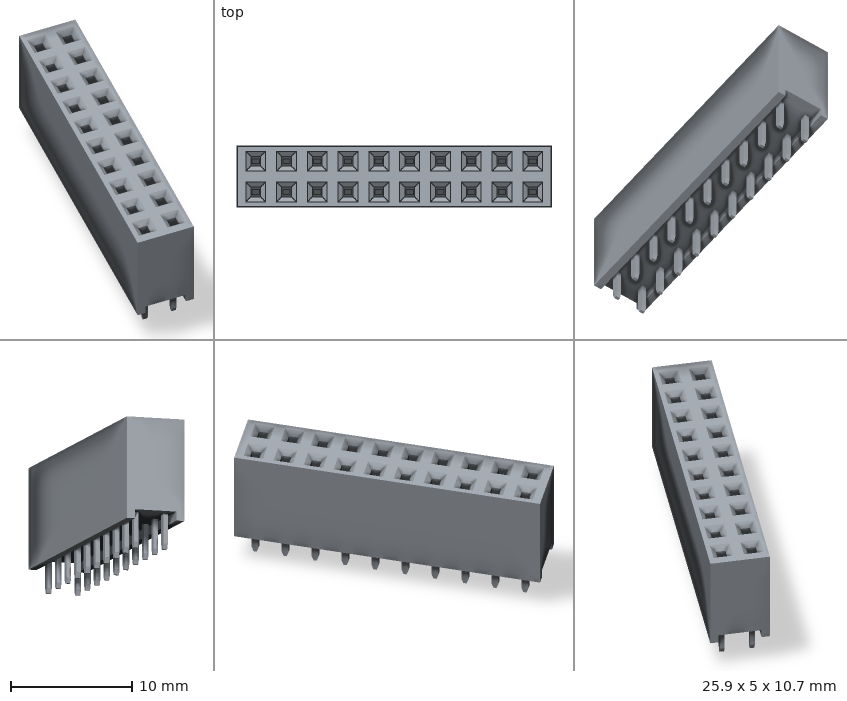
import cadquery as cq

length = 25.9
width = 5.0
overall_height = 10.7
housing_height = 8.5
standoff_height = 0.75
standoff_width = 0.7

columns = 10
rows = 2
pitch = 2.55

pin_width = 0.6
pin_thickness = 0.4
pin_tip_width = 0.25
pin_tip_length = 0.47

lead_in_size = 1.63
well_size = 0.8
lead_in_depth = (lead_in_size - well_size) / 2
well_depth = 2.6
pin_rise_in_well = 0.52

top_z = overall_height
housing_bottom_z = top_z - housing_height
well_top_z = top_z - lead_in_depth
well_floor_z = well_top_z - well_depth
pin_top_z = well_floor_z + pin_rise_in_well


def make_housing():
    """Block with a full-length recess underneath, leaving a standoff rail along each side."""
    block = cq.Workplane("XY", origin=(0, 0, housing_bottom_z)).box(
        length, width, housing_height, centered=(True, True, False)
    )
    recess = cq.Workplane("XY", origin=(0, 0, housing_bottom_z)).box(
        length, width - 2 * standoff_width, standoff_height, centered=(True, True, False)
    )
    return block.cut(recess)


def make_socket():
    """Volume removed for one contact, centred on the Z axis."""
    lead_in = (
        cq.Workplane("XY", origin=(0, 0, well_top_z))
        .rect(well_size, well_size)
        .workplane(offset=lead_in_depth)
        .rect(lead_in_size, lead_in_size)
        .loft(ruled=True)
    )
    well = cq.Workplane("XY", origin=(0, 0, well_floor_z)).box(
        well_size, well_size, well_depth, centered=(True, True, False)
    )
    return lead_in.union(well)


def make_pin():
    """Flat pin centred on the Z axis, narrowing in X at its lower tip."""
    half_width = pin_width / 2
    half_tip = pin_tip_width / 2
    return (
        cq.Workplane("XZ")
        .polyline([
            (-half_tip, 0),
            (half_tip, 0),
            (half_width, pin_tip_length),
            (half_width, pin_top_z),
            (-half_width, pin_top_z),
            (-half_width, pin_tip_length),
        ])
        .close()
        .extrude(pin_thickness / 2, both=True)
    )


def at_contacts(shape):
    """Copies of a shape at every contact position."""
    grid = cq.Workplane("XY").rarray(pitch, pitch, columns, rows)
    return grid.eachpoint(lambda place: shape.val().moved(place))


result = make_housing().cut(at_contacts(make_socket())).union(at_contacts(make_pin()))